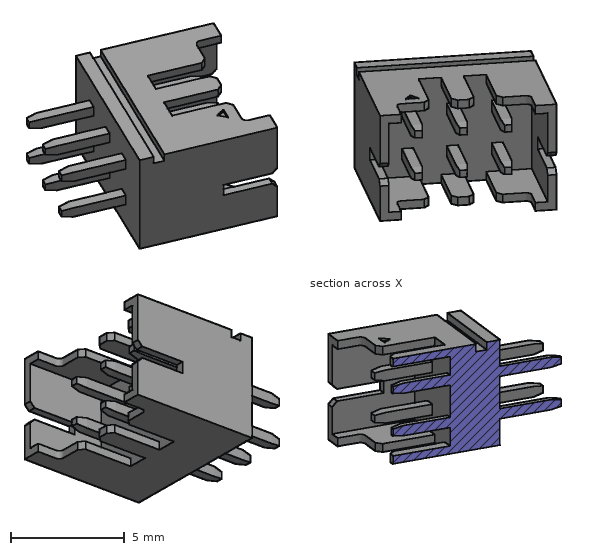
import cadquery as cq


overall_depth = 9.5

housing_width = 7.9
housing_depth = 6.5
housing_height = 5.0
wall = 0.4
cavity_depth = 4.04

notch_width = 6.0
notch_depth = 1.24
notch_fillet = 0.25
slot_width = 1.01
slot_offset = 1.01
slot_chamfer = 0.25

end_slot_height = 0.57
end_slot_length = 2.54
end_slot_z = -0.3

groove_width = 0.5
groove_depth = 0.36
groove_from_solder_face = 0.665

columns = 3
rows = 2
pitch = 2.0
pin_size = 0.5
pin_tip_size = 0.33
pin_taper_length = 0.5
solder_length = overall_depth - housing_depth
mating_end_y = 5.25

mark_x = 2.2
mark_width = 0.58
mark_length = 0.4
mark_depth = 0.1
mark_base_from_mating_face = 1.78

half_height = housing_height / 2
through_height = 2 * housing_height
through_width = 2 * housing_width
notch_floor_y = housing_depth - notch_depth


def block(size_x, size_y, size_z, x=0, y=0, z=0):
    """Box centred on x and z that starts at y and runs toward +Y."""
    box = cq.Workplane("XY").box(size_x, size_y, size_z, centered=(True, False, True))
    return box.translate((x, y, z))


def slot_outline(width, bottom, mouth, chamfer):
    """Points of a slot open at the mouth, where both corners flare by the chamfer."""
    half = width / 2
    flare = half + chamfer
    return [
        (-half, bottom),
        (half, bottom),
        (half, mouth - chamfer),
        (flare, mouth),
        (-flare, mouth),
        (-half, mouth - chamfer),
    ]


def wall_slot(x):
    """Slot cut through the upper and lower walls from the notch floor."""
    outline = slot_outline(slot_width, housing_depth - cavity_depth, notch_floor_y, slot_chamfer)
    cutter = cq.Workplane("XY").polyline(outline).close().extrude(through_height / 2, both=True)
    return cutter.translate((x, 0, 0))


def end_slot():
    """Slot cut through both end walls from the mating side."""
    outline = slot_outline(end_slot_height, housing_depth - end_slot_length, housing_depth, slot_chamfer)
    profile = [(y, z + end_slot_z) for z, y in outline]
    return cq.Workplane("YZ").polyline(profile).close().extrude(through_width / 2, both=True)


def notch():
    """Wide step in the upper and lower walls with rounded inner corners."""
    cutter = block(notch_width, notch_depth, through_height, y=notch_floor_y)
    return cutter.edges("|Z and <Y").fillet(notch_fillet)


def pin_mark():
    """Triangular recess in the top face, pointing toward the solder side."""
    base_y = housing_depth - mark_base_from_mating_face
    outline = [
        (mark_x - mark_width / 2, base_y),
        (mark_x + mark_width / 2, base_y),
        (mark_x, base_y - mark_length),
    ]
    return cq.Workplane("XY", origin=(0, 0, half_height)).polyline(outline).close().extrude(-mark_depth)


def pin_taper(base_y, direction):
    """Square taper from base_y toward +Y (direction 1) or -Y (direction -1)."""
    base_plane = cq.Plane(origin=(0, base_y, 0), xDir=(1, 0, 0), normal=(0, direction, 0))
    base = cq.Workplane(base_plane).rect(pin_size, pin_size)
    return base.workplane(offset=pin_taper_length).rect(pin_tip_size, pin_tip_size).loft(ruled=True)


def pin():
    """Square pin passing through the housing floor, tapered at both ends."""
    start_y = pin_taper_length - solder_length
    end_y = mating_end_y - pin_taper_length
    shank = block(pin_size, end_y - start_y, pin_size, y=start_y)
    return shank.union(pin_taper(start_y, -1)).union(pin_taper(end_y, 1))


housing = block(housing_width, housing_depth, housing_height)
cavity = block(
    housing_width - 2 * wall,
    cavity_depth,
    housing_height - 2 * wall,
    y=housing_depth - cavity_depth,
)
groove = block(
    through_width,
    groove_width,
    2 * groove_depth,
    y=groove_from_solder_face,
    z=half_height,
)
housing = housing.cut(cavity).cut(notch()).cut(end_slot()).cut(groove).cut(pin_mark())
for side in (-1, 1):
    housing = housing.cut(wall_slot(side * slot_offset))

result = housing
for column in range(columns):
    for row in range(rows):
        pin_x = (column - (columns - 1) / 2) * pitch
        pin_z = (row - (rows - 1) / 2) * pitch
        result = result.union(pin().translate((pin_x, 0, pin_z)))